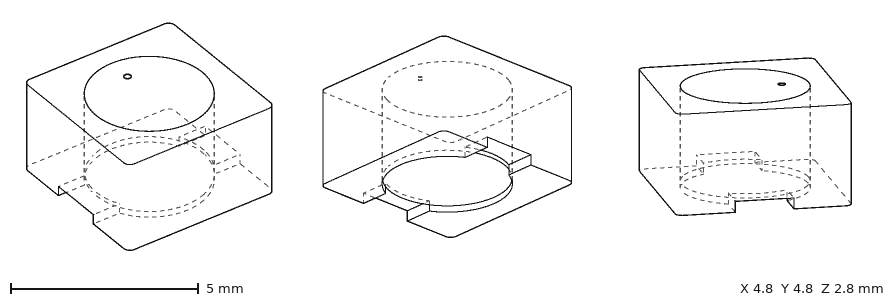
import cadquery as cq

SIDE = 4.8
HEIGHT = 2.8
CORNER_RADIUS = 0.2

SLOT_WIDTH = 1.6
SLOT_HEIGHT = 0.3

CORE_DIAMETER = 3.46
BORE_DIAMETER = 3.47
CORE_BOTTOM = 0.18

DOT_DIAMETER = 0.2
DOT_OFFSET = 1.0
DOT_DEPTH = 0.02


def make_housing():
    """Square block with rounded upright edges, a through bore and an underside slot."""
    block = (
        cq.Workplane("XY")
        .rect(SIDE, SIDE)
        .extrude(HEIGHT)
        .edges("|Z")
        .fillet(CORNER_RADIUS)
    )
    bore = cq.Workplane("XY").circle(BORE_DIAMETER / 2).extrude(HEIGHT)
    slot = cq.Workplane("XY").rect(SLOT_WIDTH, SIDE).extrude(SLOT_HEIGHT)
    return block.cut(bore).cut(slot)


def make_core():
    """Cylinder flush with the housing top, raised off its base, with a dot recess."""
    cylinder = (
        cq.Workplane("XY", origin=(0, 0, CORE_BOTTOM))
        .circle(CORE_DIAMETER / 2)
        .extrude(HEIGHT - CORE_BOTTOM)
    )
    dot = (
        cq.Workplane("XY", origin=(-DOT_OFFSET, 0, HEIGHT - DOT_DEPTH))
        .circle(DOT_DIAMETER / 2)
        .extrude(DOT_DEPTH)
    )
    return cylinder.cut(dot)


housing = make_housing()
core = make_core()

result = cq.Compound.makeCompound([housing.val(), core.val()])